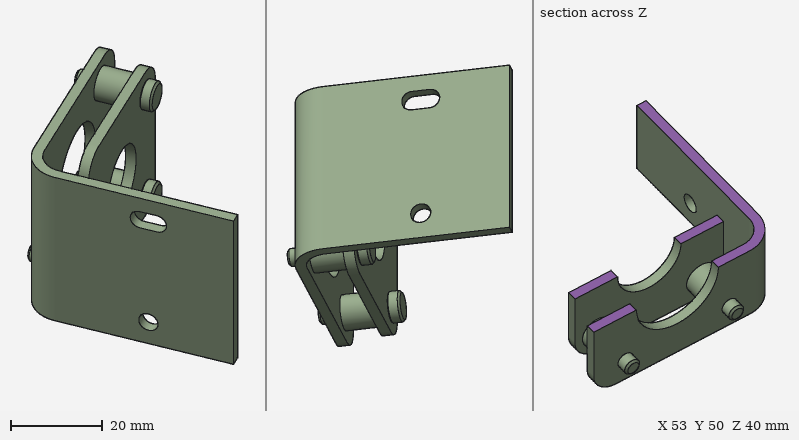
import cadquery as cq

LEG_LENGTH = 50.0
HEIGHT = 40.0
SHEET_THICKNESS = 2.5
BEND_OUTER_RADIUS = 8.0
BEND_INNER_RADIUS = BEND_OUTER_RADIUS - SHEET_THICKNESS
CORNER_RADIUS = 6.0

PLATE_SIZE = 40.0
PLATE_GAP = 8.0
PLATE_START_X = SHEET_THICKNESS + PLATE_GAP
PLATE_END_X = PLATE_START_X + SHEET_THICKNESS

CENTRE_Y = 27.5
BRACKET_OPENING_DIAMETER = 22.0
PLATE_OPENING_DIAMETER = 17.0

SCREW_SPACING = 28.0
SCREW_CORNERS = [(1, 1), (1, -1), (-1, -1)]
SPACER_DIAMETER = 8.0
SCREW_DIAMETER = 4.0
SCREW_PROTRUSION = 3.0
SCREW_TIP_CHAMFER = 0.5
HEAD_DIAMETER = 7.0
HEAD_HEIGHT = 2.8
HEAD_END_CHAMFER = 0.5
HEAD_SEAT_CHAMFER = 0.2

MOUNT_X = 30.0
MOUNT_SPACING = 28.0
MOUNT_HOLE_DIAMETER = 4.5
MOUNT_SLOT_LENGTH = 8.5


def rod(start_x, end_x, y, z, diameter):
    """Cylinder along X centred on (y, z)."""
    return (
        cq.Workplane("YZ", origin=(start_x, y, z))
        .circle(diameter / 2)
        .extrude(end_x - start_x)
    )


def make_bracket():
    sheet = (
        cq.Workplane("XY", origin=(0, 0, -HEIGHT / 2))
        .moveTo(0, LEG_LENGTH)
        .lineTo(0, BEND_OUTER_RADIUS)
        .radiusArc((BEND_OUTER_RADIUS, 0), -BEND_OUTER_RADIUS)
        .lineTo(LEG_LENGTH, 0)
        .lineTo(LEG_LENGTH, SHEET_THICKNESS)
        .lineTo(BEND_OUTER_RADIUS, SHEET_THICKNESS)
        .radiusArc((SHEET_THICKNESS, BEND_OUTER_RADIUS), BEND_INNER_RADIUS)
        .lineTo(SHEET_THICKNESS, LEG_LENGTH)
        .close()
        .extrude(HEIGHT)
    )
    sheet = sheet.faces(">Y").edges("|X").fillet(CORNER_RADIUS)
    opening = rod(0, SHEET_THICKNESS, CENTRE_Y, 0, BRACKET_OPENING_DIAMETER)
    return sheet.cut(opening).cut(make_mount_cutters())


def make_mount_cutters():
    """Slot above and round hole below, both through the plain leg."""
    slot = (
        cq.Workplane("XZ")
        .center(MOUNT_X, MOUNT_SPACING / 2)
        .slot2D(MOUNT_SLOT_LENGTH, MOUNT_HOLE_DIAMETER)
        .extrude(-SHEET_THICKNESS)
    )
    hole = (
        cq.Workplane("XZ")
        .center(MOUNT_X, -MOUNT_SPACING / 2)
        .circle(MOUNT_HOLE_DIAMETER / 2)
        .extrude(-SHEET_THICKNESS)
    )
    return slot.union(hole)


def make_plate():
    plate = (
        cq.Workplane("YZ", origin=(PLATE_START_X, CENTRE_Y, 0))
        .rect(PLATE_SIZE, PLATE_SIZE)
        .extrude(SHEET_THICKNESS)
        .edges("|X")
        .fillet(CORNER_RADIUS)
    )
    return plate.cut(rod(PLATE_START_X, PLATE_END_X, CENTRE_Y, 0, PLATE_OPENING_DIAMETER))


def make_screw_with_spacer(y, z):
    shank = rod(-SCREW_PROTRUSION, PLATE_END_X, y, z, SCREW_DIAMETER)
    shank = shank.faces("<X").chamfer(SCREW_TIP_CHAMFER)
    head = rod(PLATE_END_X, PLATE_END_X + HEAD_HEIGHT, y, z, HEAD_DIAMETER)
    head = head.faces(">X").chamfer(HEAD_END_CHAMFER)
    head = head.faces("<X").chamfer(HEAD_SEAT_CHAMFER)
    spacer = rod(SHEET_THICKNESS, PLATE_START_X, y, z, SPACER_DIAMETER)
    return shank.union(head).union(spacer)


result = make_bracket().union(make_plate())
for side_y, side_z in SCREW_CORNERS:
    screw_y = CENTRE_Y + side_y * SCREW_SPACING / 2
    screw_z = side_z * SCREW_SPACING / 2
    result = result.union(make_screw_with_spacer(screw_y, screw_z))